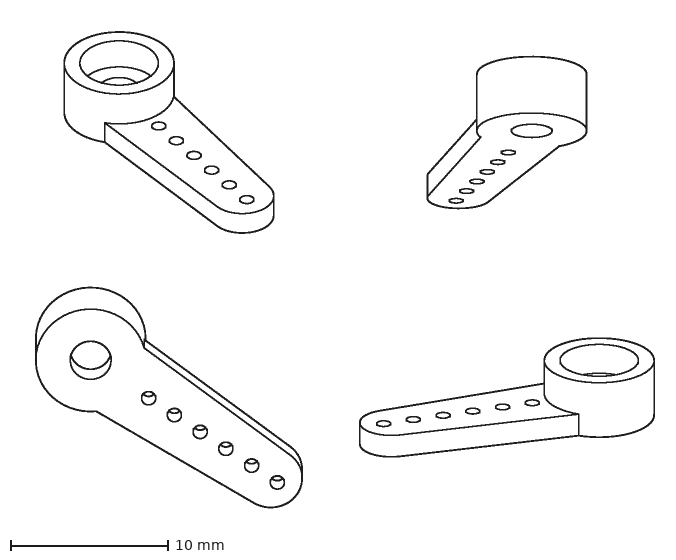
import cadquery as cq
import math

length = 19.5
hub_diameter = 7.0
hub_height = 3.8

socket_diameter = 5.0
socket_depth = 2.0
screw_hole_diameter = 2.6

arm_thickness = 1.5
tip_radius = 2.0
root_radius = 2.77
tip_x = length - hub_diameter / 2 - tip_radius

link_hole_diameter = 0.9
link_hole_count = 6
link_hole_first_x = 4.5
link_hole_last_x = 14.5
link_hole_pitch = (link_hole_last_x - link_hole_first_x) / (link_hole_count - 1)


def make_arm():
    """Arm with straight sides tangent to the tip arc."""
    taper = math.asin((root_radius - tip_radius) / tip_x)
    root = (root_radius * math.sin(taper), root_radius * math.cos(taper))
    tip = (tip_x + tip_radius * math.sin(taper), tip_radius * math.cos(taper))
    return (
        cq.Workplane("XY")
        .moveTo(root[0], -root[1])
        .lineTo(tip[0], -tip[1])
        .threePointArc((tip_x + tip_radius, 0), tip)
        .lineTo(*root)
        .close()
        .extrude(arm_thickness)
    )


def cut_hub_bore(body):
    """Through hole for the screw, with a wider socket from the top."""
    screw_hole = cq.Workplane("XY").circle(screw_hole_diameter / 2).extrude(hub_height)
    socket = (
        cq.Workplane("XY")
        .workplane(offset=hub_height - socket_depth)
        .circle(socket_diameter / 2)
        .extrude(socket_depth)
    )
    return body.cut(screw_hole).cut(socket)


def cut_link_holes(body):
    """Evenly spaced through holes along the arm."""
    centers = [(link_hole_first_x + i * link_hole_pitch, 0) for i in range(link_hole_count)]
    holes = (
        cq.Workplane("XY")
        .pushPoints(centers)
        .circle(link_hole_diameter / 2)
        .extrude(arm_thickness)
    )
    return body.cut(holes)


hub = cq.Workplane("XY").circle(hub_diameter / 2).extrude(hub_height)
result = cut_link_holes(cut_hub_bore(hub.union(make_arm())))